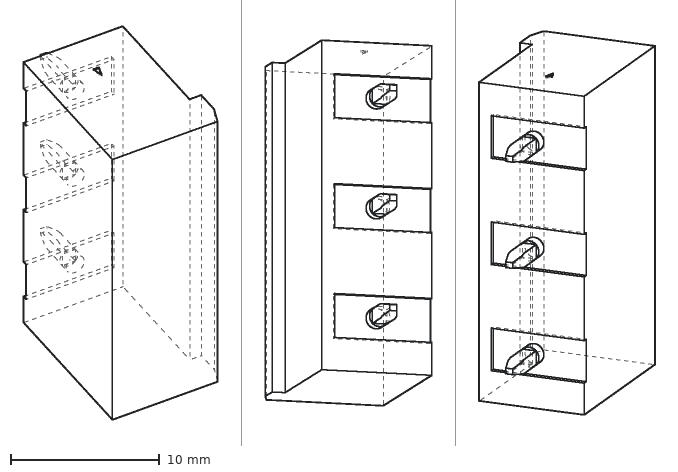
import cadquery as cq

body_length = 12.0
body_depth = 7.7
pitch = 7.5
pin_count = 3
body_height = pin_count * pitch

total_depth = 8.6
lip_start = 9.0
slope_start = 10.75
slope_drop = 0.45

pocket_depth = 0.35
pocket_height = 3.0
pocket_reach = 6.8

pin_y = 3.8
pin_length = 3.9
collar_diameter = 1.4
collar_projection = 0.5
shank_side = 1.0
tip_width = 0.5
tip_height = 0.4
width_taper_length = 1.0
height_taper_length = 1.4

mark_start = 3.0
mark_length = 0.8
mark_width = 0.45
mark_depth = 0.1
mark_y = 3.9


def make_housing():
    outline = [
        (0, 0),
        (body_length, 0),
        (body_length, total_depth - slope_drop),
        (slope_start, total_depth),
        (lip_start, total_depth),
        (lip_start, body_depth),
        (0, body_depth),
    ]
    return cq.Workplane("XY").polyline(outline).close().extrude(body_height)


def make_pocket(z):
    return (
        cq.Workplane("XY")
        .box(pocket_depth, pocket_reach, pocket_height, centered=(False, False, True))
        .translate((0, 0, z))
    )


def make_mark():
    return (
        cq.Workplane("XY", origin=(mark_start, mark_y, body_height))
        .moveTo(0, -mark_width / 2)
        .lineTo(mark_length, 0)
        .lineTo(0, mark_width / 2)
        .close()
        .extrude(-mark_depth)
    )


def shank_outline(plane, end_width, taper_length):
    """Closed outline of the shank along its axis, tapered at the far end."""
    half_side = shank_side / 2
    half_tip = end_width / 2
    return plane.polyline([
        (-collar_projection, -half_side),
        (taper_length - pin_length, -half_side),
        (-pin_length, -half_tip),
        (-pin_length, half_tip),
        (taper_length - pin_length, half_side),
        (-collar_projection, half_side),
    ]).close()


def make_pin(z):
    axis_start = (0, pin_y, z)
    collar = (
        cq.Workplane("YZ", origin=(pocket_depth, pin_y, z))
        .circle(collar_diameter / 2)
        .extrude(-pocket_depth - collar_projection)
    )
    width_prism = shank_outline(
        cq.Workplane("XY", origin=axis_start), tip_width, width_taper_length
    ).extrude(shank_side / 2, both=True)
    height_prism = shank_outline(
        cq.Workplane("XZ", origin=axis_start), tip_height, height_taper_length
    ).extrude(shank_side / 2, both=True)
    return collar.union(width_prism.intersect(height_prism))


result = make_housing().cut(make_mark())
for index in range(pin_count):
    pin_z = (index + 0.5) * pitch
    result = result.cut(make_pocket(pin_z)).union(make_pin(pin_z))